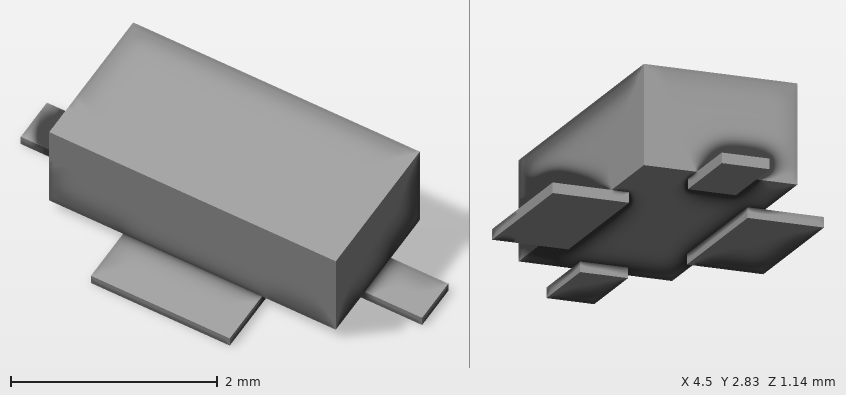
import cadquery as cq

overall_length = 4.5
overall_width = 2.83
overall_height = 1.14

housing_length = 3.215
housing_width = 1.6

lead_thickness = 0.11
end_lead_length = 0.87
end_lead_width = 0.5
side_lead_length = 1.555
side_lead_width = 0.795

housing_height = overall_height - lead_thickness
end_lead_offset = (overall_length - end_lead_length) / 2
side_lead_offset = (overall_width - side_lead_width) / 2


def block(length, width, height, center_x=0, center_y=0, bottom_z=0):
    """Rectangular block standing on bottom_z, centred in plan on (center_x, center_y)."""
    base = cq.Workplane("XY").box(length, width, height, centered=(True, True, False))
    return base.translate((center_x, center_y, bottom_z))


def make_housing():
    """Plain rectangular housing that rests on top of the leads."""
    return block(housing_length, housing_width, housing_height, bottom_z=lead_thickness)


def make_end_lead(side):
    """Narrow lead projecting from the -X or +X end of the housing."""
    return block(end_lead_length, end_lead_width, lead_thickness, center_x=side * end_lead_offset)


def make_side_lead(side):
    """Broad lead projecting from the -Y or +Y side of the housing."""
    return block(side_lead_length, side_lead_width, lead_thickness, center_y=side * side_lead_offset)


housing = make_housing()
end_leads = [make_end_lead(side) for side in (-1, 1)]
side_leads = [make_side_lead(side) for side in (-1, 1)]

result = cq.Compound.makeCompound(
    [housing.val()] + [lead.val() for lead in end_leads + side_leads]
)